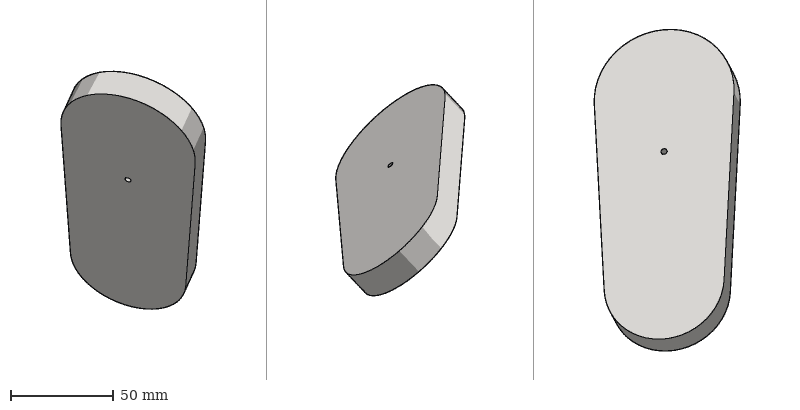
import cadquery as cq
import math

length = 165.0
thickness = 15.0
top_radius = 35.0
bottom_radius = 30.0
hole_diameter = 3.0
hole_drop = 30.0

top_center = length / 2 - top_radius
bottom_center = -length / 2 + bottom_radius

side_angle = math.asin((top_radius - bottom_radius) / (top_center - bottom_center))


def tangent_point(center, radius, side):
    """Point where a straight side meets a round end; side is -1 or 1."""
    x = side * radius * math.cos(side_angle)
    z = center - radius * math.sin(side_angle)
    return (x, z)


plate = (
    cq.Workplane("XZ")
    .moveTo(*tangent_point(top_center, top_radius, -1))
    .threePointArc((0, length / 2), tangent_point(top_center, top_radius, 1))
    .lineTo(*tangent_point(bottom_center, bottom_radius, 1))
    .threePointArc((0, -length / 2), tangent_point(bottom_center, bottom_radius, -1))
    .close()
    .extrude(thickness / 2, both=True)
)

hole = (
    cq.Workplane("XZ")
    .center(0, top_center - hole_drop)
    .circle(hole_diameter / 2)
    .extrude(thickness, both=True)
)

result = plate.cut(hole)